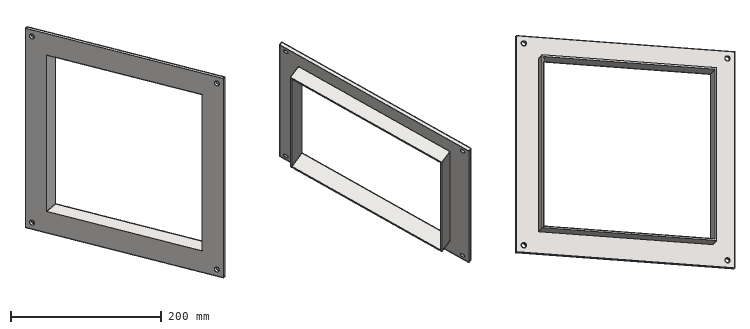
import cadquery as cq

plate_side = 300.0
plate_thickness = 5.0
total_depth = 25.0

collar_side = 240.0
opening_side = 235.2

hole_diameter = 7.0
hole_edge_distance = 10.0
hole_spacing = plate_side - 2 * hole_edge_distance


def square_block(side, depth):
    """Square block centred on the Y axis, reaching from Y = 0 to Y = depth."""
    return cq.Workplane("XZ").rect(side, side).extrude(-depth)


plate = square_block(plate_side, plate_thickness)
collar = square_block(collar_side, total_depth)
opening = square_block(opening_side, total_depth)
mounting_holes = (
    cq.Workplane("XZ")
    .rect(hole_spacing, hole_spacing, forConstruction=True)
    .vertices()
    .circle(hole_diameter / 2)
    .extrude(-plate_thickness)
)

result = plate.union(collar).cut(opening).cut(mounting_holes)